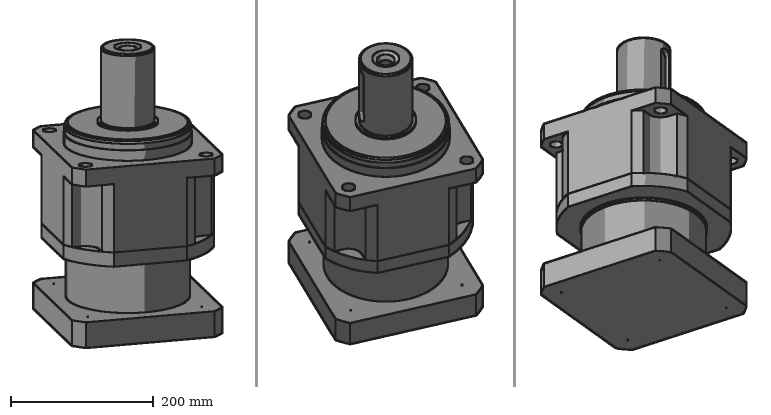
import cadquery as cq
import math

BASE_TOP = 37.5
BARREL_TOP = 111.5
COLLAR_CONE_TOP = 114.3
REAR_FLANGE_BOTTOM = 115.5
JOINT_Z = 136.5
FRONT_FLANGE_BOTTOM = 236.0
FRONT_FLANGE_TOP = 261.0
PILOT_TOP = 276.3
LEAD_IN_BOTTOM = 285.5
LEAD_IN_TOP = 289.0
DISC_TOP = 290.7
SHOULDER_TOP = 293.0
SHAFT_TOP = 401.0

WIDTH_X = 220.5
WIDTH_Y = 220.0
PLATE_DIAMETER = 290.0
BODY_DIAMETER = 245.0

BARREL_RADIUS = 87.5
COLLAR_RADIUS = 89.0
PINHOLE_CIRCLE_RADIUS = 117.5
PINHOLE_DIAMETER = 1.0

BOLT_OFFSET = 88.2
BOLT_HOLE_DIAMETER = 18.0
POCKET_RADIUS = 20.0
PILOT_RADIUS = 90.0
DISC_RADIUS = 89.0
LEAD_IN_RADIUS = 87.5
DISC_FACE_RADIUS = 84.2
SHOULDER_RADIUS = 42.5

SHAFT_DIAMETER = 75.0
SHAFT_RADIUS = SHAFT_DIAMETER / 2
SHAFT_CHAMFER = 2.5
KEYWAY_WIDTH = 20.0
KEYWAY_DEPTH = 7.5
KEYWAY_BOTTOM = 301.5
KEYWAY_TOP = 390.0

GUARD_CONE_RADIUS = 19.0
CENTRE_CONE_RADIUS = 12.5
DRILL_RADIUS = 8.5
GUARD_CONE_DEPTH = 2.5
DRILL_DEPTH = 50.0
CENTRE_CONE_HALF_ANGLE = 30
DRILL_TIP_HALF_ANGLE = 60


def rounded_square(turning_diameter, bottom, top):
    """Square block between two heights whose corners lie on a turned cylinder."""
    height = top - bottom
    block = cq.Workplane("XY").box(WIDTH_X, WIDTH_Y, height, centered=(True, True, False))
    turning = cq.Workplane("XY").circle(turning_diameter / 2).extrude(height)
    return block.intersect(turning).translate((0, 0, bottom))


def revolved(profile):
    """Turn a closed (radius, height) profile about the Z axis."""
    return cq.Workplane("XZ").polyline(profile).close().revolve(360, (0, 0, 0), (0, 1, 0))


def corners(offset):
    """The four points at +-offset in X and Y."""
    return [(sx * offset, sy * offset) for sx in (-1, 1) for sy in (-1, 1)]


def make_adapter():
    """Base plate, round barrel and rear flange that carry the gearbox."""
    barrel = revolved([
        (0, 0),
        (BARREL_RADIUS, 0),
        (BARREL_RADIUS, BARREL_TOP),
        (COLLAR_RADIUS, COLLAR_CONE_TOP),
        (COLLAR_RADIUS, JOINT_Z),
        (0, JOINT_Z),
    ])
    base_plate = rounded_square(PLATE_DIAMETER, 0, BASE_TOP)
    rear_flange = rounded_square(BODY_DIAMETER, REAR_FLANGE_BOTTOM, JOINT_Z)
    pinholes = (
        cq.Workplane("XY")
        .pushPoints(corners(PINHOLE_CIRCLE_RADIUS / math.sqrt(2)))
        .circle(PINHOLE_DIAMETER / 2)
        .extrude(BASE_TOP)
    )
    return barrel.union(base_plate).union(rear_flange).cut(pinholes)


def corner_pockets():
    """Clearance for the bolts: square-sided pockets with a rounded inner corner."""
    inner = BOLT_OFFSET - POCKET_RADIUS
    size = WIDTH_X / 2 - inner + POCKET_RADIUS
    centre = inner + size / 2
    pockets = cq.Workplane("XY")
    for x, y in corners(centre):
        pocket = (
            cq.Workplane("XY", origin=(x, y, JOINT_Z))
            .rect(size, size)
            .extrude(FRONT_FLANGE_BOTTOM - JOINT_Z)
            .edges("|Z")
            .fillet(POCKET_RADIUS)
        )
        pockets = pockets.add(pocket)
    return pockets.combine()


def keyway():
    """Round-ended slot along the +Y side of the shaft."""
    return (
        cq.Workplane("XZ", origin=(0, SHAFT_RADIUS, (KEYWAY_BOTTOM + KEYWAY_TOP) / 2))
        .slot2D(KEYWAY_TOP - KEYWAY_BOTTOM, KEYWAY_WIDTH, 90)
        .extrude(KEYWAY_DEPTH)
    )


def centre_hole():
    """Guard cone, centre cone and drilled hole in the shaft end."""
    guard_bottom = SHAFT_TOP - GUARD_CONE_DEPTH
    cone_step = CENTRE_CONE_RADIUS - DRILL_RADIUS
    cone_depth = cone_step / math.tan(math.radians(CENTRE_CONE_HALF_ANGLE))
    tip_depth = DRILL_RADIUS / math.tan(math.radians(DRILL_TIP_HALF_ANGLE))
    drill_bottom = SHAFT_TOP - DRILL_DEPTH
    return revolved([
        (0, SHAFT_TOP),
        (GUARD_CONE_RADIUS, SHAFT_TOP),
        (CENTRE_CONE_RADIUS, guard_bottom),
        (DRILL_RADIUS, guard_bottom - cone_depth),
        (DRILL_RADIUS, drill_bottom),
        (0, drill_bottom - tip_depth),
    ])


def make_gearbox():
    """Gearbox body with its front flange, pilot, disc and output shaft."""
    body = rounded_square(BODY_DIAMETER, JOINT_Z, FRONT_FLANGE_BOTTOM).cut(corner_pockets())
    front_flange = rounded_square(PLATE_DIAMETER, FRONT_FLANGE_BOTTOM, FRONT_FLANGE_TOP)
    bolt_holes = (
        cq.Workplane("XY", origin=(0, 0, FRONT_FLANGE_BOTTOM))
        .pushPoints(corners(BOLT_OFFSET))
        .circle(BOLT_HOLE_DIAMETER / 2)
        .extrude(FRONT_FLANGE_TOP - FRONT_FLANGE_BOTTOM)
    )
    nose = revolved([
        (0, FRONT_FLANGE_TOP),
        (PILOT_RADIUS, FRONT_FLANGE_TOP),
        (PILOT_RADIUS, PILOT_TOP),
        (DISC_RADIUS, PILOT_TOP),
        (DISC_RADIUS, LEAD_IN_BOTTOM),
        (LEAD_IN_RADIUS, LEAD_IN_TOP),
        (DISC_FACE_RADIUS, DISC_TOP),
        (SHOULDER_RADIUS, DISC_TOP),
        (SHOULDER_RADIUS, SHOULDER_TOP),
        (SHAFT_RADIUS, SHOULDER_TOP),
        (SHAFT_RADIUS, SHAFT_TOP - SHAFT_CHAMFER),
        (SHAFT_RADIUS - SHAFT_CHAMFER, SHAFT_TOP),
        (0, SHAFT_TOP),
    ])
    housing = body.union(front_flange.cut(bolt_holes))
    shaft_end = nose.cut(keyway()).cut(centre_hole())
    return housing.union(shaft_end)


adapter = make_adapter()
gearbox = make_gearbox()

result = cq.Compound.makeCompound([adapter.solids().val(), gearbox.solids().val()])